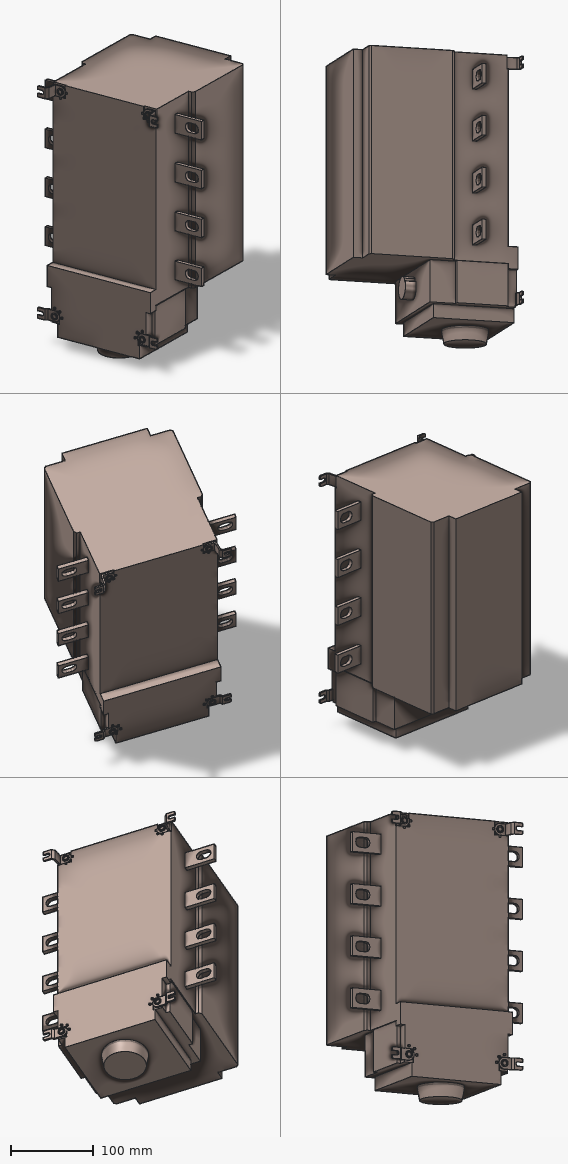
import cadquery as cq
import math

total_height = 344.2
total_depth = 205.7
terminal_span = 229.6

neck_width = 151.5
shoulder_width = 166.2
cover_width = 110.3
housing_front_y = 15.2
shoulder_start_y = 85.2
shoulder_end_y = 193.8
shoulder_lower_bevel = 3.6
shoulder_upper_bevel = 2.4
shoulder_bevel_width = 2.8
housing_bottom_z = 86.7

plate_front_y = 3.0
plate_top_z = 108.0
plate_shoulder_z = 80.3
plate_width = 139.2
drive_width = 149.0
drive_back_y = 112.9
drive_step_y = 80.3
drive_rear_width = 139.2
drive_bottom_z = 34.5
base_width = 120.2
base_back_y = 105.6
base_bottom_z = 17.3

socket_center_y = 46.4
socket_top_radius = 28.6
socket_bottom_radius = 25.8
socket_rim_height = 2.4

knob_radius = 14.0
knob_center_z = 64.4
knob_end_y = 126.6
knob_notch_floor = 6.5
knob_notch_top = 10.2

terminal_count = 4
terminal_pitch = 64.2
terminal_top_z = 311.6
terminal_height = 24.3
terminal_thickness = 5.2
terminal_center_y = 58.4
terminal_slot_length = 19.0
terminal_slot_width = 12.6
terminal_slot_x = 100.6

clip_thickness = 2.0
clip_width = 14.4
clip_tip_x = 88.0
clip_foot_end_x = 76.8
clip_bend_size = 3.4
clip_lean = 1.5
clip_slot_width = 5.4
clip_slot_end_x = 79.0
clip_corner = 2.0
screw_x = 64.4
screw_radius = 4.4
screw_socket_radius = 2.8
screw_socket_depth = 0.8
screw_head_height = 1.2
top_screw_z = 334.7
bottom_screw_z = 44.0
pocket_inner_x = 57.8
top_pocket_depth = 1.8
bottom_pocket_depth = 1.6
tooth_radius = 1.5
top_tooth_reach = 10.0
top_tooth_height = 0.3
bottom_tooth_reach = 12.0
bottom_tooth_height = 1.2


def box(x_range, y_range, z_range):
    """Axis-aligned block between the given limits."""
    (x0, x1), (y0, y1), (z0, z1) = x_range, y_range, z_range
    return cq.Workplane("XY").box(x1 - x0, y1 - y0, z1 - z0, centered=False).translate((x0, y0, z0))


def centered_box(width, y_range, z_range):
    """Block symmetric about the YZ plane."""
    return box((-width / 2, width / 2), y_range, z_range)


def cylinder_y(x, z, radius, y_start, y_end):
    """Cylinder along Y between two depths."""
    base = cq.Workplane("XZ", origin=(x, y_start, z)).circle(radius)
    return base.extrude(y_start - y_end)


def housing():
    neck = neck_width / 2
    shoulder = shoulder_width / 2
    cover = cover_width / 2
    bevel_x = shoulder - shoulder_bevel_width
    half_outline = [
        (neck, housing_front_y),
        (neck, shoulder_start_y),
        (bevel_x, shoulder_start_y),
        (shoulder, shoulder_start_y + shoulder_lower_bevel),
        (shoulder, shoulder_end_y - shoulder_upper_bevel),
        (bevel_x, shoulder_end_y),
        (cover, shoulder_end_y),
        (cover, total_depth),
    ]
    mirrored = [(-x, y) for x, y in reversed(half_outline)]
    outline = cq.Workplane("XY", origin=(0, 0, housing_bottom_z)).polyline(half_outline + mirrored).close()
    return outline.extrude(total_height - housing_bottom_z)


def drive_unit():
    plate_y = (plate_front_y, housing_front_y)
    upper_plate = centered_box(neck_width, plate_y, (plate_shoulder_z, plate_top_z))
    lower_plate = centered_box(plate_width, plate_y, (drive_bottom_z, plate_shoulder_z))
    drive_z = (drive_bottom_z, housing_bottom_z)
    drive_front = centered_box(drive_width, (housing_front_y, drive_step_y), drive_z)
    drive_rear = centered_box(drive_rear_width, (drive_step_y, drive_back_y), drive_z)
    base = centered_box(base_width, (plate_front_y, base_back_y), (base_bottom_z, drive_bottom_z))
    return upper_plate.union(lower_plate).union(drive_front).union(drive_rear).union(base)


def handle_socket():
    rim_z = base_bottom_z - socket_rim_height
    half_profile = [
        (0, 0),
        (socket_bottom_radius, 0),
        (socket_top_radius, rim_z),
        (socket_top_radius, base_bottom_z),
        (0, base_bottom_z),
    ]
    profile = cq.Workplane("XZ").polyline(half_profile).close()
    return profile.revolve(360, (0, 0, 0), (0, 1, 0)).translate((0, socket_center_y, 0))


def rear_knob():
    knob = cylinder_y(0, knob_center_z, knob_radius, drive_back_y, knob_end_y)
    notch_x = -math.sqrt(knob_radius**2 - knob_notch_top**2)
    notch = box(
        (-knob_radius, notch_x),
        (drive_back_y, knob_end_y),
        (knob_center_z + knob_notch_floor, knob_center_z + knob_radius),
    )
    return knob.cut(notch)


def terminal_bars(index):
    """Left and right terminal of one pole, each with an elongated bolt hole."""
    center_z = terminal_top_z - index * terminal_pitch
    bars = cq.Workplane("XZ", origin=(0, terminal_center_y, center_z)).rect(terminal_span, terminal_height)
    bars = bars.extrude(terminal_thickness / 2, both=True)
    holes = cq.Workplane("XZ", origin=(0, terminal_center_y, center_z))
    holes = holes.pushPoints([(-terminal_slot_x, 0), (terminal_slot_x, 0)])
    holes = holes.slot2D(terminal_slot_length, terminal_slot_width)
    return bars.cut(holes.extrude(terminal_thickness, both=True))


def clip_pocket(seat_y, depth, z_range):
    """Corner recess on the left side that seats a clip."""
    return box((-neck_width / 2, -pocket_inner_x), (seat_y - depth, seat_y), z_range)


def clip(seat_y, screw_z):
    """Left clip: slotted foot at Y = 0, 45 degree bend, leaning web and screwed flange with a round end."""
    flange_front_y = seat_y - clip_thickness
    end_x = -screw_x + clip_width / 2
    bend = min(clip_bend_size, flange_front_y)
    lower_web_x = -clip_foot_end_x + bend
    upper_web_x = lower_web_x + clip_lean
    bend_offset = clip_thickness * (math.sqrt(2) - 1)
    profile = [
        (-clip_tip_x, 0),
        (-clip_foot_end_x, 0),
        (lower_web_x, bend),
        (upper_web_x, flange_front_y),
        (end_x, flange_front_y),
        (end_x, seat_y),
        (upper_web_x - clip_thickness, seat_y),
        (lower_web_x - clip_thickness, bend + bend_offset),
        (-clip_foot_end_x - bend_offset, clip_thickness),
        (-clip_tip_x, clip_thickness),
    ]
    strip = cq.Workplane("XY", origin=(0, 0, screw_z)).polyline(profile).close()
    strip = strip.extrude(clip_width / 2, both=True)

    half = clip_width / 2
    slot_half = clip_slot_width / 2
    corner_inset = clip_corner * (1 - math.sqrt(0.5))
    slot_center_x = -clip_slot_end_x - slot_half
    plan = (
        cq.Workplane("XZ", origin=(0, 0, screw_z))
        .moveTo(-clip_tip_x, -slot_half)
        .lineTo(slot_center_x, -slot_half)
        .threePointArc((-clip_slot_end_x, 0), (slot_center_x, slot_half))
        .lineTo(-clip_tip_x, slot_half)
        .lineTo(-clip_tip_x, half - clip_corner)
        .threePointArc((-clip_tip_x + corner_inset, half - corner_inset), (-clip_tip_x + clip_corner, half))
        .lineTo(-screw_x, half)
        .threePointArc((end_x, 0), (-screw_x, -half))
        .lineTo(-clip_tip_x + clip_corner, -half)
        .threePointArc((-clip_tip_x + corner_inset, -half + corner_inset), (-clip_tip_x, -half + clip_corner))
        .close()
        .extrude(-seat_y)
    )
    head_y = flange_front_y - screw_head_height
    head = cylinder_y(-screw_x, screw_z, screw_radius, head_y, flange_front_y)
    socket = cylinder_y(-screw_x, screw_z, screw_socket_radius, head_y, head_y + screw_socket_depth)
    return strip.intersect(plan).union(head).cut(socket)


def locking_teeth(screw_z, reach, height, face_y, angles):
    """Small round teeth standing on the face around the inner side of a clip screw."""
    teeth = cq.Workplane("XY")
    for angle in angles:
        direction = math.radians(angle)
        distance = reach - tooth_radius
        x = -screw_x + distance * math.cos(direction)
        z = screw_z + distance * math.sin(direction)
        teeth = teeth.union(cylinder_y(x, z, tooth_radius, face_y - height, face_y))
    return teeth


def both_sides(left):
    return left.union(left.mirror("YZ"))


body = housing().union(drive_unit()).union(handle_socket()).union(rear_knob())
for pole in range(terminal_count):
    body = body.union(terminal_bars(pole))

top_seat_y = housing_front_y + top_pocket_depth
bottom_seat_y = plate_front_y + bottom_pocket_depth
top_pocket_z = (top_screw_z - clip_width / 2, total_height)
top_pocket = clip_pocket(top_seat_y, top_pocket_depth, top_pocket_z)
bottom_pocket_z = (drive_bottom_z, bottom_screw_z + clip_width / 2)
bottom_pocket = clip_pocket(bottom_seat_y, bottom_pocket_depth, bottom_pocket_z)
body = body.cut(both_sides(top_pocket)).cut(both_sides(bottom_pocket))

left_fasteners = (
    clip(top_seat_y, top_screw_z)
    .union(clip(bottom_seat_y, bottom_screw_z))
    .union(locking_teeth(top_screw_z, top_tooth_reach, top_tooth_height, housing_front_y, (0, -45, -90)))
    .union(locking_teeth(bottom_screw_z, bottom_tooth_reach, bottom_tooth_height, plate_front_y, (0, 45, 90)))
)
result = body.union(both_sides(left_fasteners))